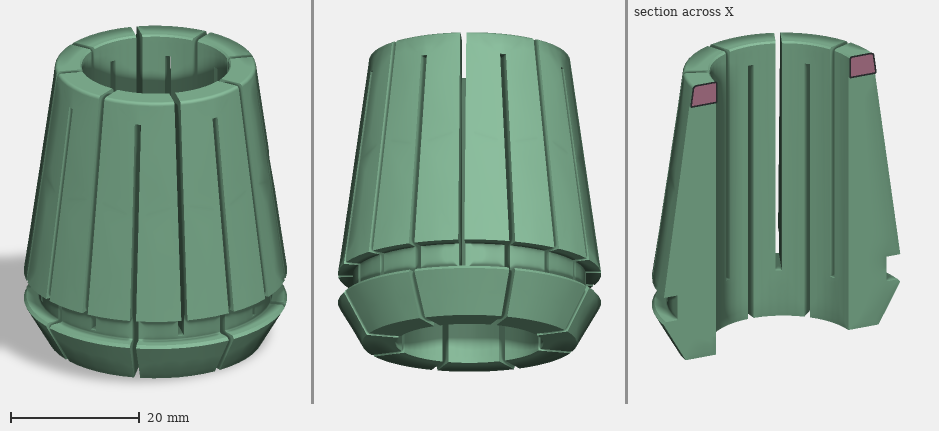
import cadquery as cq
import math

height = 46.0
max_radius = 20.495
bore_radius = 11.5

taper_angle = 8.0
taper_bottom = 11.15
top_radius = max_radius - (height - taper_bottom) * math.tan(math.radians(taper_angle))
top_outer_fillet = 0.55
top_bore_chamfer = 0.28

groove_bottom = 7.0
groove_radius = 18.12
groove_fillet = 0.25

nose_angle = 30.0
nose_edge_height = 6.55
nose_top_radius = 20.1
nose_bottom_radius = max_radius - nose_edge_height * math.tan(math.radians(nose_angle))

slots_per_end = 8
slot_width = 0.95
slot_reach = max_radius + slot_width
bottom_slot_end = 42.5
top_slot_end = 7.6


def collet_body():
    """Revolve the collet wall around the Z axis."""
    wall = (
        cq.Workplane("XZ")
        .moveTo(bore_radius, 0)
        .lineTo(nose_bottom_radius, 0)
        .lineTo(max_radius, nose_edge_height)
        .lineTo(nose_top_radius, groove_bottom)
        .lineTo(groove_radius + groove_fillet, groove_bottom)
        .radiusArc((groove_radius, groove_bottom + groove_fillet), groove_fillet)
        .lineTo(groove_radius, taper_bottom)
        .lineTo(max_radius, taper_bottom)
        .lineTo(top_radius, height)
        .lineTo(bore_radius, height)
        .close()
    )
    body = wall.revolve(360, (0, 0, 0), (0, 1, 0))
    body = body.faces(">Z").edges(cq.selectors.RadiusNthSelector(-1)).fillet(top_outer_fillet)
    return body.faces(">Z").edges(cq.selectors.RadiusNthSelector(0)).chamfer(top_bore_chamfer)


def cut_slots(body, z_start, z_end, first_angle):
    """Cut one ring of slots; each blade spans the diameter and makes two opposite slots."""
    blade = cq.Workplane("XY", origin=(0, 0, z_start))
    blade = blade.rect(2 * slot_reach, slot_width).extrude(z_end - z_start)
    slot_pitch = 360 / slots_per_end
    for index in range(slots_per_end // 2):
        angle = first_angle + index * slot_pitch
        body = body.cut(blade.rotate((0, 0, 0), (0, 0, 1), angle))
    return body


result = collet_body()
result = cut_slots(result, 0, bottom_slot_end, 0)
result = cut_slots(result, top_slot_end, height, 180 / slots_per_end)